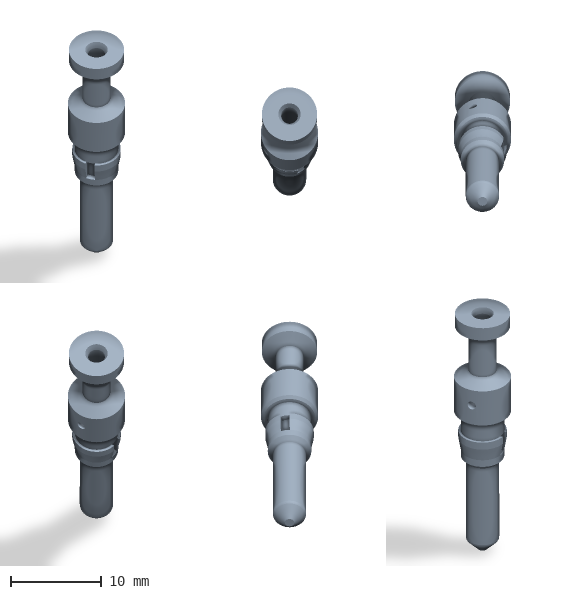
import cadquery as cq
import math

total_height = 30.8
head_base = 29.2
neck_top = 28.45
neck_base = 23.4
body_top = 22.58
body_base = 17.8
collar_top = 15.55
collar_taper_top = 14.63
collar_base = 13.05
ring_base = 12.2
pin_shoulder = 1.4

head_radius = 3.05
neck_radius = 1.55
body_radius = 6.3 / 2
shank_radius = 2.4
collar_radius = 2.68
pin_radius = 1.85
tip_radius = 0.52

body_chamfer = 0.3
shoulder_rounding = 0.45

slot_width = 1.02
slot_floor_radius = 1.8

mouth_radius = 1.23
bore_radius = 0.92
countersink_depth = 0.65
bore_end = 19.4
drill_point_angle = 90
bore_point_height = bore_radius / math.tan(math.radians(drill_point_angle / 2))

inspection_radius = 0.5
inspection_height = 20.57


def revolve_outline(points):
    """Turn an outline of (radius, height) points about the Z axis."""
    return cq.Workplane("XZ").polyline(points).close().revolve(360, (0, 0), (0, 1))


def make_body():
    """Turned contact: head, neck, body, shank, tapered collar and pointed pin."""
    ring_chamfer = shank_radius - pin_radius
    turned = revolve_outline([
        (0, 0),
        (tip_radius, 0),
        (pin_radius, pin_shoulder),
        (pin_radius, ring_base - ring_chamfer),
        (shank_radius, ring_base),
        (shank_radius, collar_base),
        (collar_radius, collar_taper_top),
        (collar_radius, collar_top),
        (shank_radius, collar_top),
        (shank_radius, body_base),
        (body_radius - body_chamfer, body_base),
        (body_radius, body_base + body_chamfer),
        (body_radius, body_top),
        (neck_radius, neck_base),
        (neck_radius, neck_top),
        (head_radius, head_base),
        (head_radius, total_height),
        (0, total_height),
    ])
    shoulder = cq.selectors.NearestToPointSelector((0, 0, pin_shoulder))
    return turned.edges("%CIRCLE").edges(shoulder).fillet(shoulder_rounding)


def make_collar_slot():
    """Slot through the collar on its -Y side, with a round floor about the axis."""
    slot_height = collar_top - collar_base
    block = (
        cq.Workplane("XY", origin=(0, 0, collar_base))
        .center(0, -body_radius / 2)
        .rect(slot_width, body_radius)
        .extrude(slot_height)
    )
    core = cq.Workplane("XY", origin=(0, 0, collar_base)).circle(slot_floor_radius).extrude(slot_height)
    return block.cut(core)


def make_bore():
    """Countersunk blind bore with a drill point."""
    return revolve_outline([
        (0, total_height),
        (mouth_radius, total_height),
        (bore_radius, total_height - countersink_depth),
        (bore_radius, bore_end),
        (0, bore_end - bore_point_height),
    ])


def make_inspection_hole():
    """Radial hole from the -X side into the bore."""
    return (
        cq.Workplane("YZ", origin=(-body_radius, 0, inspection_height))
        .circle(inspection_radius)
        .extrude(body_radius)
    )


result = (
    make_body()
    .cut(make_collar_slot())
    .cut(make_bore())
    .cut(make_inspection_hole())
)